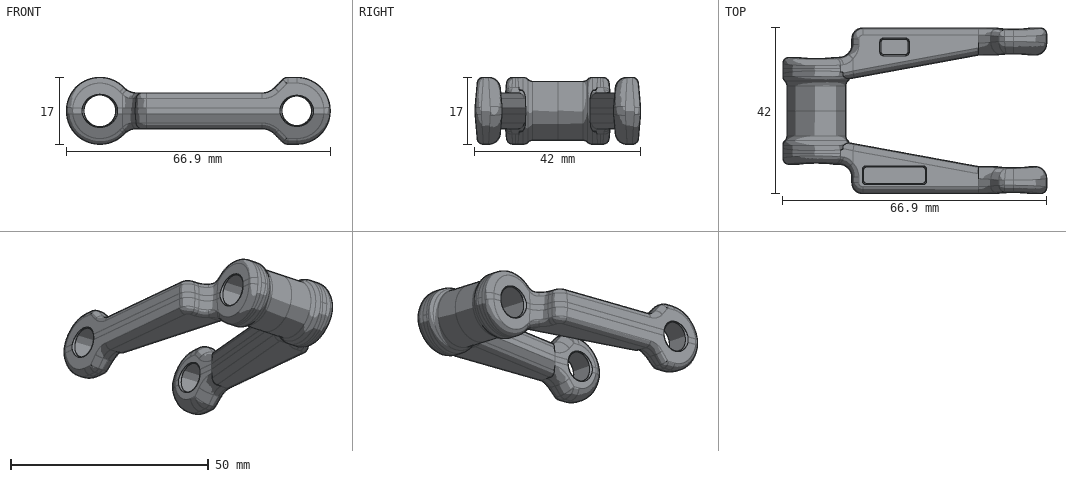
import cadquery as cq
import math


OVERALL_LENGTH = 66.85
END_RADIUS = 8.5
PITCH = OVERALL_LENGTH - 2 * END_RADIUS
OUTER_HALF_WIDTH = 21.0
EYE_THICKNESS = 6.9
EYE_INNER_Y = OUTER_HALF_WIDTH - EYE_THICKNESS
ARM_HALF_HEIGHT = 4.55
DRAFT = 5.0
LAND_HALF_HEIGHT = END_RADIUS * math.sin(math.radians(DRAFT))
EDGE_RADIUS = 1.6
EYE_INNER_EDGE_RADIUS = 3.0

BARREL_RADIUS = 7.5
BARREL_HALF_LENGTH = 13.6
WAIST_HALF_LENGTH = 6.35
COLLAR_START = 8.75
COLLAR_OVERLAP = 2.0
PLAN_SETBACK = 0.7

BARREL_HOLE = 8.0
EYE_HOLE = 7.5
HOLE_CHAMFER = 0.5

ARM_BACK_X = 8.95
NECK_RADIUS = 3.2
SHOULDER_RADIUS = 2.8
ARM_INNER_START_X = 6.35
EYE_ROOT_X = 41.05
INNER_TAPER = 10.4

BLEND_RADIUS = 4.35
EYE_CROWN_RADIUS = 2.0
EYE_FLAT = 2.2
EYE_SLOPE = 45.0

PANELS = ((19.8, 16.2, 7.5, 4.5), (19.8, -16.3, 16.3, 4.75))
PANEL_DEPTH = 0.35
PANEL_CORNER = 1.0
PANEL_WALL_TAPER = 45.0

CLEARANCE = 6.7


def polar_point(center, radius, angle):
    """Point at an angle (radians) on a circle."""
    return (center[0] + radius * math.cos(angle), center[1] + radius * math.sin(angle))


def drafted_plan():
    """Arm outline in plan, drafted up and down from the parting strip."""
    inner_drop = (EYE_ROOT_X - ARM_INNER_START_X) * math.tan(math.radians(INNER_TAPER))
    far_left = -END_RADIUS - CLEARANCE
    far_right = PITCH + END_RADIUS + CLEARANCE
    neck_center = (ARM_BACK_X - NECK_RADIUS, BARREL_HALF_LENGTH + NECK_RADIUS)
    shoulder_center = (ARM_BACK_X + SHOULDER_RADIUS, OUTER_HALF_WIDTH - SHOULDER_RADIUS)
    neck_middle = polar_point(neck_center, NECK_RADIUS, -math.pi / 4)
    shoulder_middle = polar_point(shoulder_center, SHOULDER_RADIUS, 3 * math.pi / 4)

    def outline(z):
        return (
            cq.Workplane("XY", origin=(0, 0, z))
            .moveTo(far_left, COLLAR_START + PLAN_SETBACK)
            .lineTo(far_left, BARREL_HALF_LENGTH)
            .lineTo(neck_center[0], BARREL_HALF_LENGTH)
            .threePointArc(neck_middle, (ARM_BACK_X, neck_center[1]))
            .lineTo(ARM_BACK_X, shoulder_center[1])
            .threePointArc(shoulder_middle, (shoulder_center[0], OUTER_HALF_WIDTH))
            .lineTo(far_right, OUTER_HALF_WIDTH)
            .lineTo(far_right, EYE_INNER_Y)
            .lineTo(EYE_ROOT_X, EYE_INNER_Y)
            .lineTo(ARM_INNER_START_X, EYE_INNER_Y - inner_drop)
            .lineTo(ARM_INNER_START_X, COLLAR_START + PLAN_SETBACK)
            .close()
        )

    land = outline(-LAND_HALF_HEIGHT).extrude(2 * LAND_HALF_HEIGHT)
    upper = outline(LAND_HALF_HEIGHT).extrude(END_RADIUS, taper=DRAFT)
    return land.union(upper).union(upper.mirror("XY"))


def side_profile():
    """Side outline (collar circle, arm, eye) run through the full width."""
    blend_z = ARM_HALF_HEIGHT + BLEND_RADIUS
    neck_x = math.sqrt((END_RADIUS + BLEND_RADIUS) ** 2 - blend_z ** 2)
    neck_angle = math.atan2(blend_z, neck_x)
    neck_start = polar_point((0, 0), END_RADIUS, neck_angle)
    collar_middle = polar_point((0, 0), END_RADIUS, (neck_angle + math.pi) / 2)
    down = -math.pi / 2
    neck_middle = polar_point((neck_x, blend_z), BLEND_RADIUS, (neck_angle - math.pi + down) / 2)

    slope = math.radians(EYE_SLOPE)
    up = math.pi / 2
    crown = (PITCH - EYE_FLAT, END_RADIUS - EYE_CROWN_RADIUS)
    crown_start = polar_point(crown, EYE_CROWN_RADIUS, up + slope)
    foot_end_z = blend_z - BLEND_RADIUS * math.cos(slope)
    foot_end_x = crown_start[0] - (crown_start[1] - foot_end_z) / math.tan(slope)
    foot = (foot_end_x - BLEND_RADIUS * math.sin(slope), blend_z)

    half = (
        cq.Workplane("XZ")
        .moveTo(-END_RADIUS, 0)
        .threePointArc(collar_middle, neck_start)
        .threePointArc(neck_middle, (neck_x, ARM_HALF_HEIGHT))
        .lineTo(foot[0], ARM_HALF_HEIGHT)
        .threePointArc(polar_point(foot, BLEND_RADIUS, down + slope / 2), (foot_end_x, foot_end_z))
        .lineTo(*crown_start)
        .threePointArc(
            polar_point(crown, EYE_CROWN_RADIUS, up + slope / 2),
            (crown[0], END_RADIUS),
        )
        .lineTo(PITCH, END_RADIUS)
        .threePointArc(
            polar_point((PITCH, 0), END_RADIUS, math.pi / 4),
            (PITCH + END_RADIUS, 0),
        )
        .close()
        .extrude(-OUTER_HALF_WIDTH - CLEARANCE)
    )
    return half.union(half.mirror("XY")).clean()


def round_edges(solid, radius, seeds):
    """Fillet the edges nearest the seed points; each fillet follows its tangent chain."""
    picked = solid.newObject([])
    for seed in seeds:
        picked = picked.add(solid.edges(cq.NearestToPointSelector(seed)))
    return picked.fillet(radius)


def forged_arm():
    """One arm with its eye and collar, on the +Y side, edges rounded."""
    blank = drafted_plan().intersect(side_profile())
    arm_middle_x = EYE_ROOT_X / 2
    eye_tip_x = PITCH + END_RADIUS
    both_sides = (1, -1)

    outer_seeds = [(-END_RADIUS, BARREL_HALF_LENGTH, 0), (eye_tip_x, OUTER_HALF_WIDTH, 0)]
    outer_seeds += [(arm_middle_x, OUTER_HALF_WIDTH, side * ARM_HALF_HEIGHT) for side in both_sides]
    rounded = round_edges(blank, EDGE_RADIUS, outer_seeds)

    eye_side = cq.Workplane("XY").box(
        2 * PITCH, 2 * PITCH, 2 * PITCH, centered=(False, True, True)
    ).translate((EYE_ROOT_X, 0, 0))
    inner_arm_y = (COLLAR_START + EYE_INNER_Y) / 2
    arm_seeds = [(arm_middle_x, inner_arm_y, side * ARM_HALF_HEIGHT) for side in both_sides]
    arm = round_edges(rounded.cut(eye_side), EDGE_RADIUS, arm_seeds)

    eye_seeds = [(eye_tip_x, EYE_INNER_Y, 0)]
    eye_seeds += [(PITCH - EYE_FLAT / 2, EYE_INNER_Y, side * END_RADIUS) for side in both_sides]
    eye = round_edges(rounded.intersect(eye_side), EYE_INNER_EDGE_RADIUS, eye_seeds)
    return arm.union(eye)


def barrel():
    """Cylinder between the collars, flaring through an S-curve to the collar radius."""
    middle_y = (WAIST_HALF_LENGTH + COLLAR_START) / 2
    middle_radius = (BARREL_RADIUS + END_RADIUS) / 2
    half = (
        cq.Workplane("XY")
        .lineTo(-BARREL_RADIUS, 0)
        .lineTo(-BARREL_RADIUS, WAIST_HALF_LENGTH)
        .tangentArcPoint((-middle_radius, middle_y), relative=False)
        .tangentArcPoint((-END_RADIUS, COLLAR_START), relative=False)
        .lineTo(-END_RADIUS, COLLAR_START + COLLAR_OVERLAP)
        .lineTo(0, COLLAR_START + COLLAR_OVERLAP)
        .close()
        .revolve(360, (0, 0, 0), (0, 1, 0))
    )
    return half.union(half.mirror("XZ"))


def cross_hole(x, diameter, chamfered_faces):
    """Cutter for a hole along Y, countersunk at each (y, outward direction) face."""
    length = 2 * (OUTER_HALF_WIDTH + CLEARANCE)
    radius = diameter / 2
    cutter = cq.Workplane("XZ", origin=(x, length / 2, 0)).circle(radius).extrude(length)
    for face_y, outward in chamfered_faces:
        countersink = cq.Solid.makeCone(
            radius + HOLE_CHAMFER, radius, HOLE_CHAMFER,
            cq.Vector(x, face_y, 0), cq.Vector(0, -outward, 0),
        )
        cutter = cutter.union(cq.Workplane(countersink))
    return cutter


def name_panel(center_x, center_y, length, width):
    """Cutter for a round-cornered recess with sloping walls in an arm's top face."""
    outline = cq.Sketch().rect(length, width).vertices().fillet(PANEL_CORNER)
    return (
        cq.Workplane("XY", origin=(center_x, center_y, ARM_HALF_HEIGHT))
        .placeSketch(outline)
        .extrude(-PANEL_DEPTH, taper=PANEL_WALL_TAPER)
    )


arm = forged_arm()
body = barrel().union(arm).union(arm.mirror("XZ"))

barrel_faces = [(side * BARREL_HALF_LENGTH, side) for side in (1, -1)]
eye_faces = [(side * OUTER_HALF_WIDTH, side) for side in (1, -1)]
eye_faces += [(side * EYE_INNER_Y, -side) for side in (1, -1)]
body = body.cut(cross_hole(0, BARREL_HOLE, barrel_faces))
body = body.cut(cross_hole(PITCH, EYE_HOLE, eye_faces))

for panel in PANELS:
    body = body.cut(name_panel(*panel))

result = body